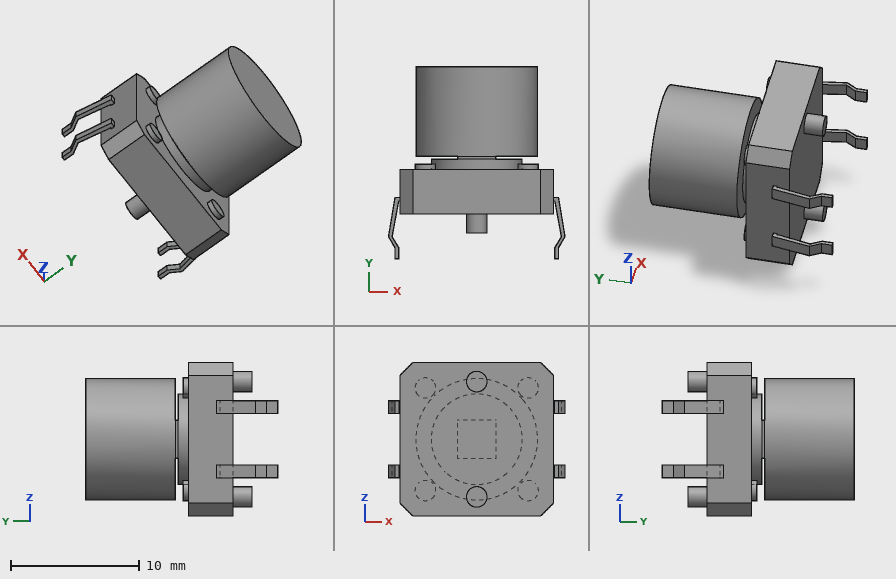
import cadquery as cq


HOUSING_SIDE = 12.0
HOUSING_DEPTH = 3.5
CORNER_CHAMFER = 1.0

COLLAR_DIAMETER = 7.1
COLLAR_HEIGHT = 0.8
RIVET_DIAMETER = 1.6
RIVET_HEIGHT = 0.4
RIVET_OFFSET = 4.0

PEG_DIAMETER = 1.6
PEG_LENGTH = 1.5
PEG_OFFSET = 4.5

TERMINAL_WIDTH = 1.0
TERMINAL_OFFSET = 2.5
STRIP_THICKNESS = 0.3
ROOT_TOP_Y = 1.3
ROOT_INNER_X = HOUSING_SIDE / 2 + 0.09
BEND_OUTER_X = 6.9
BEND_Y = -1.77
FOOT_OUTER_X = 6.39
FOOT_TOP_Y = -2.62
FOOT_END_Y = -3.5

STEM_SIDE = 2.97
STEM_LENGTH = 0.21
CAP_DIAMETER = 9.5
TOTAL_DEPTH = 15.0

COLLAR_TOP_Y = HOUSING_DEPTH + COLLAR_HEIGHT
CAP_BASE_Y = COLLAR_TOP_Y + STEM_LENGTH
CAP_LENGTH = TOTAL_DEPTH + FOOT_END_Y - CAP_BASE_Y


def plane_at(y):
    """XZ workplane at height y along the switch axis, extruding toward +Y."""
    return cq.Workplane(cq.Plane(origin=(0, y, 0), xDir=(1, 0, 0), normal=(0, 1, 0)))


def make_terminal(side, z):
    """Bent strip on the +X (side = 1) or -X (side = -1) face, centred at height z."""
    wall_x = HOUSING_SIDE / 2
    root_bottom_y = ROOT_TOP_Y - STRIP_THICKNESS
    profile = [
        (wall_x, ROOT_TOP_Y),
        (FOOT_OUTER_X, ROOT_TOP_Y),
        (BEND_OUTER_X, BEND_Y),
        (FOOT_OUTER_X, FOOT_TOP_Y),
        (FOOT_OUTER_X, FOOT_END_Y),
        (FOOT_OUTER_X - STRIP_THICKNESS, FOOT_END_Y),
        (FOOT_OUTER_X - STRIP_THICKNESS, FOOT_TOP_Y),
        (BEND_OUTER_X - STRIP_THICKNESS, BEND_Y),
        (ROOT_INNER_X, root_bottom_y),
        (wall_x, root_bottom_y),
    ]
    return (
        cq.Workplane("XY", origin=(0, 0, z - TERMINAL_WIDTH / 2))
        .polyline([(side * x, y) for x, y in profile])
        .close()
        .extrude(TERMINAL_WIDTH)
    )


def make_housing():
    """Housing block with its collar, rivet heads, pegs and terminals."""
    block = (
        plane_at(0)
        .rect(HOUSING_SIDE, HOUSING_SIDE)
        .extrude(HOUSING_DEPTH)
        .edges("|Y")
        .chamfer(CORNER_CHAMFER)
    )
    collar = plane_at(HOUSING_DEPTH).circle(COLLAR_DIAMETER / 2).extrude(COLLAR_HEIGHT)
    rivets = (
        plane_at(HOUSING_DEPTH)
        .rect(2 * RIVET_OFFSET, 2 * RIVET_OFFSET, forConstruction=True)
        .vertices()
        .circle(RIVET_DIAMETER / 2)
        .extrude(RIVET_HEIGHT)
    )
    pegs = (
        plane_at(0)
        .pushPoints([(0, -PEG_OFFSET), (0, PEG_OFFSET)])
        .circle(PEG_DIAMETER / 2)
        .extrude(-PEG_LENGTH)
    )
    housing = block.union(collar).union(rivets).union(pegs)
    for side in (-1, 1):
        for z in (-TERMINAL_OFFSET, TERMINAL_OFFSET):
            housing = housing.union(make_terminal(side, z))
    return housing


def make_stem():
    """Square stem standing on the collar."""
    return plane_at(COLLAR_TOP_Y).rect(STEM_SIDE, STEM_SIDE).extrude(STEM_LENGTH)


def make_cap():
    """Round push cap carried by the stem."""
    return plane_at(CAP_BASE_Y).circle(CAP_DIAMETER / 2).extrude(CAP_LENGTH)


housing = make_housing()
stem = make_stem()
cap = make_cap()

result = cq.Compound.makeCompound([housing.val(), stem.val(), cap.val()])